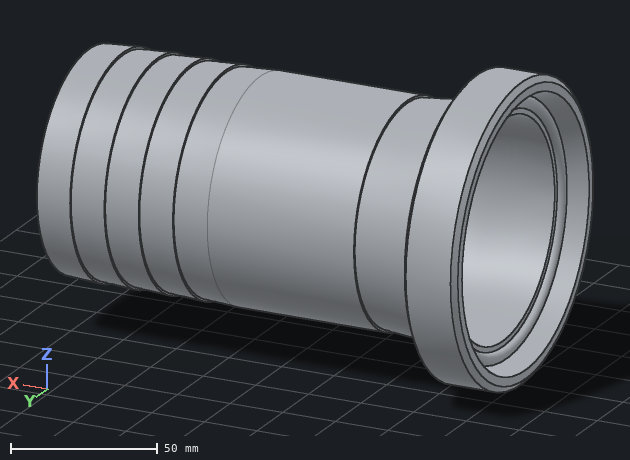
import cadquery as cq
import math

length = 166.0
tube_radius = 41.2
bore_radius = 76.5 / 2

flange_radius = 110.0 / 2
flange_chamfer_length = 1.7
flange_chamfer_height = 2.3
flange_thickness = 20.3
back_face_angle = math.radians(12)

neck_start = 25.2
neck_end = 45.2
neck_start_radius = 85.0 / 2
neck_end_radius = 40.3
neck_fillet_radius = 4.0

barb_count = 5
barb_start = 101.0
barb_root_radius = 40.3
barb_pitch = (length - barb_start) / barb_count

seat_mouth_radius = 49.5
seat_floor_radius = 47.0
seat_depth = 8.6
bead_inner_radius = 42.3
bead_radius = (seat_floor_radius - bead_inner_radius) / 2
entry_radius = 40.3


def barb_points():
    """Return the sawtooth outline of the barbs, from the tube to the hose end."""
    points = []
    for index in range(barb_count):
        crest = barb_start + index * barb_pitch
        points.append((crest, tube_radius))
        points.append((crest + barb_pitch, barb_root_radius))
    return points


def neck_fillet():
    """Return start, middle and end of the arc joining the flange back to the neck."""
    neck_angle = math.atan((neck_start_radius - neck_end_radius) / (neck_end - neck_start))
    center_x = neck_start + neck_fillet_radius * math.sin(neck_angle)
    center_r = neck_start_radius + neck_fillet_radius * math.cos(neck_angle)
    start_angle = math.pi + back_face_angle
    end_angle = 1.5 * math.pi - neck_angle
    angles = (start_angle, (start_angle + end_angle) / 2, end_angle)
    return [
        (center_x + neck_fillet_radius * math.cos(a), center_r + neck_fillet_radius * math.sin(a))
        for a in angles
    ]


def fitting_profile():
    """Draw half of the wall section: X along the axis, Y as the radius."""
    rim_radius = flange_radius - flange_chamfer_height
    fillet_start, fillet_middle, fillet_end = neck_fillet()
    bead_center_radius = bead_inner_radius + bead_radius
    return (
        cq.Workplane("XY")
        .moveTo(0, seat_mouth_radius)
        .lineTo(0, rim_radius)
        .lineTo(flange_chamfer_length, flange_radius)
        .lineTo(flange_thickness - flange_chamfer_length, flange_radius)
        .lineTo(flange_thickness, rim_radius)
        .lineTo(*fillet_start)
        .threePointArc(fillet_middle, fillet_end)
        .lineTo(neck_end, neck_end_radius)
        .lineTo(neck_end, tube_radius)
        .polyline(barb_points(), includeCurrent=True)
        .lineTo(length, bore_radius)
        .lineTo(neck_end, bore_radius)
        .lineTo(seat_depth, entry_radius)
        .lineTo(seat_depth, bead_inner_radius)
        .threePointArc(
            (seat_depth - bead_radius, bead_center_radius),
            (seat_depth, seat_floor_radius),
        )
        .close()
    )


result = fitting_profile().revolve(360, (0, 0, 0), (1, 0, 0))